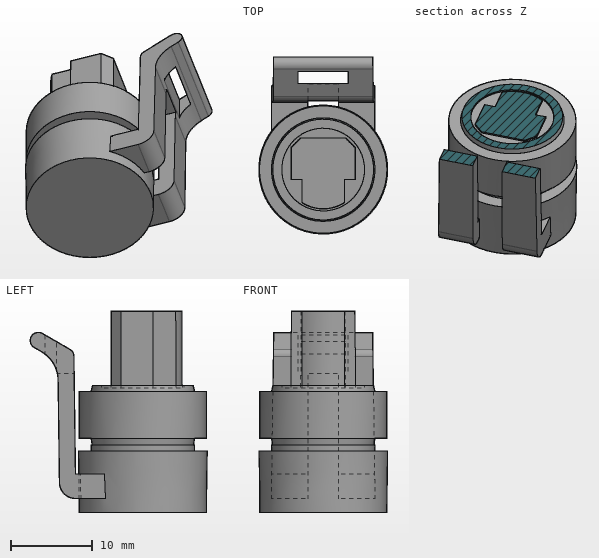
import math

import cadquery as cq

body_bottom_diameter = 15.55
body_top_diameter = 15.75
body_height = 7.55
neck_diameter = 12.65
neck_top = 8.26
groove_small_diameter = 12.4
seal_diameter = 15.55
seal_bottom = 9.08
seal_top = 14.82
collar_top_diameter = 12.3
collar_top = 15.55
overall_height = 24.6

recess_diameter = 10.1
recess_depth = 0.3

plug_half_width = 3.88
plug_half_width_root = 3.95
plug_back = 3.88
plug_chamfer = 1.2
plug_shoulder_y = -1.22
stem_half_width = 2.6
stem_radius = 4.78
stem_radius_root = 4.81

arm_thickness = 2.0
arm_draft = 0.75
arm_inner_y = 8.21
foot_bottom = 1.72
foot_top = 4.74
foot_bend_radius = 2.0
head_slope = 30.0
head_tip_y = 12.755
head_tip_z = 21.02
head_inner_bend_radius = 1.0
head_outer_bend_radius = 4.0
arm_width_foot = 12.65
arm_width_head = 12.1
window_width = 3.72
window_top = 17.0
head_slot_length = 6.1
head_slot_inner_y = 10.51
head_slot_outer_y = 11.96


def make_body():
    profile = [
        (0, 0),
        (body_bottom_diameter / 2, 0),
        (body_top_diameter / 2, body_height),
        (neck_diameter / 2, body_height),
        (neck_diameter / 2, neck_top),
        (groove_small_diameter / 2, neck_top),
        (neck_diameter / 2, seal_bottom),
        (seal_diameter / 2, seal_bottom),
        (seal_diameter / 2, seal_top),
        (neck_diameter / 2, seal_top),
        (collar_top_diameter / 2, collar_top),
        (0, collar_top),
    ]
    body = cq.Workplane("XZ").polyline(profile).close().revolve(360, (0, 0, 0), (0, 1, 0))
    recess_floor = collar_top - recess_depth
    recess_plane = cq.Workplane("XY").workplane(offset=recess_floor)
    recess = recess_plane.circle(recess_diameter / 2).extrude(recess_depth)
    return body.cut(recess)


def plug_section(plane, half_width, radius):
    """Draw the T outline with its back corners chamfered and its stem end rounded."""
    stem_corner_y = -math.sqrt(radius**2 - stem_half_width**2)
    chamfer_y = plug_back - plug_chamfer
    chamfer_x = half_width - plug_chamfer
    return (
        plane.moveTo(-stem_half_width, stem_corner_y)
        .threePointArc((0, -radius), (stem_half_width, stem_corner_y))
        .lineTo(stem_half_width, plug_shoulder_y)
        .lineTo(half_width, plug_shoulder_y)
        .lineTo(half_width, chamfer_y)
        .lineTo(chamfer_x, plug_back)
        .lineTo(-chamfer_x, plug_back)
        .lineTo(-half_width, chamfer_y)
        .lineTo(-half_width, plug_shoulder_y)
        .lineTo(-stem_half_width, plug_shoulder_y)
        .close()
    )


def make_plug():
    root_z = collar_top - recess_depth
    root_plane = cq.Workplane("XY").workplane(offset=root_z)
    root = plug_section(root_plane, plug_half_width_root, stem_radius_root)
    top_plane = root.workplane(offset=overall_height - root_z)
    return plug_section(top_plane, plug_half_width, stem_radius).loft(ruled=True, combine=True)


def arm_face_y(inner_y, z):
    """Y of a leaning arm face at height z, given its Y at the top of the foot."""
    return inner_y + (z - foot_top) * math.tan(math.radians(arm_draft))


def head_corner(inner_y, line_y, line_z):
    """Point where a sloping head face through (line_y, line_z) meets a leaning arm face."""
    slope = math.tan(math.radians(head_slope))
    lean = math.tan(math.radians(arm_draft))
    z = (line_z + slope * (inner_y - line_y - lean * foot_top)) / (1 - slope * lean)
    return (arm_face_y(inner_y, z), z)


def make_latch_profile():
    tip_radius = arm_thickness / 2
    normal_y = -tip_radius * math.sin(math.radians(head_slope))
    normal_z = tip_radius * math.cos(math.radians(head_slope))
    tip_upper = (head_tip_y + normal_y, head_tip_z + normal_z)
    tip_lower = (head_tip_y - normal_y, head_tip_z - normal_z)
    tip_end = (head_tip_y + normal_z, head_tip_z - normal_y)
    arm_outer_y = arm_inner_y + arm_thickness
    inner_corner = head_corner(arm_inner_y, *tip_upper)
    outer_corner = head_corner(arm_outer_y, *tip_lower)
    foot_corner = (arm_face_y(arm_outer_y, foot_bottom), foot_bottom)
    latch = (
        cq.Workplane("YZ")
        .moveTo(0, foot_bottom)
        .lineTo(*foot_corner)
        .lineTo(*outer_corner)
        .lineTo(*tip_lower)
        .threePointArc(tip_end, tip_upper)
        .lineTo(*inner_corner)
        .lineTo(arm_inner_y, foot_top)
        .lineTo(0, foot_top)
        .close()
        .extrude(arm_width_foot / 2, both=True)
    )
    for corner, radius in (
        (foot_corner, foot_bend_radius),
        (outer_corner, head_outer_bend_radius),
        (inner_corner, head_inner_bend_radius),
    ):
        bend_edge = latch.edges("|X").edges(cq.selectors.NearestToPointSelector((0, *corner)))
        latch = bend_edge.fillet(radius)
    return latch


def make_latch():
    width_outline = [
        (-arm_width_foot / 2, foot_bottom),
        (arm_width_foot / 2, foot_bottom),
        (arm_width_head / 2, head_tip_z + arm_thickness / 2),
        (-arm_width_head / 2, head_tip_z + arm_thickness / 2),
    ]
    reach_y = head_tip_y + arm_thickness
    width_limit = cq.Workplane("XZ").polyline(width_outline).close().extrude(-reach_y)
    window = cq.Workplane("XY").box(window_width, reach_y, window_top, centered=(True, False, False))
    head_slot = (
        cq.Workplane("XY")
        .workplane(offset=window_top)
        .center(0, (head_slot_inner_y + head_slot_outer_y) / 2)
        .rect(head_slot_length, head_slot_outer_y - head_slot_inner_y)
        .extrude(overall_height - window_top)
    )
    return make_latch_profile().intersect(width_limit).cut(window).cut(head_slot)


result = make_body().union(make_plug()).union(make_latch())